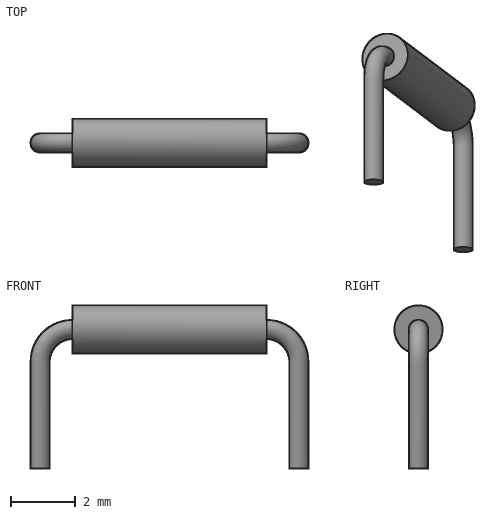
import cadquery as cq

body_diameter = 1.5
body_length = 6.0
wire_diameter = 0.6
lead_pitch = 8.0
overall_height = 5.05

axis_height = overall_height - body_diameter / 2
bend_radius = (lead_pitch - body_length) / 2
leg_length = axis_height - bend_radius


def make_body():
    """Cylinder lying along X."""
    return (
        cq.Workplane("YZ", origin=(-body_length / 2, 0, axis_height))
        .circle(body_diameter / 2)
        .extrude(body_length)
    )


def make_lead(side):
    """Straight leg and quarter bend that meets the body's end face; side is -1 or +1 along X."""
    leg_x = side * lead_pitch / 2
    bend_center_x = side * body_length / 2
    leg = (
        cq.Workplane("XY", origin=(leg_x, 0, 0))
        .circle(wire_diameter / 2)
        .extrude(leg_length)
    )
    bend = (
        cq.Workplane("XY", origin=(leg_x, 0, leg_length))
        .circle(wire_diameter / 2)
        .revolve(
            90,
            (bend_center_x - leg_x, 0, 0),
            (bend_center_x - leg_x, -side, 0),
        )
    )
    return leg.union(bend)


result = make_body()
for side in (-1, 1):
    result = result.union(make_lead(side))